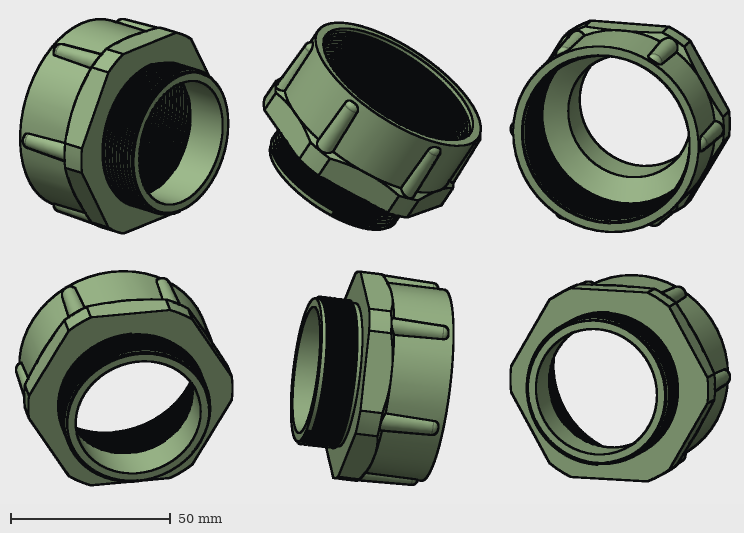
import cadquery as cq
import math

socket_length = 19.0
nut_end = 27.55
total_length = 40.5

socket_diameter = 60.3
nut_flats = 60.1
nut_corner_diameter = 65.15
nut_chamfer_length = 1.5
spigot_diameter = 45.2

socket_bore_diameter = 54.6
liner_diameter = 57.3
through_bore_diameter = 39.8
cone_start = 22.5
cone_end = 27.2

thread_pitch = 1.5
ridge_height = 0.7
ridge_base = 1.2
ridge_crest = 0.2
ridge_embed = 0.25
outer_thread_start = 28.5
outer_thread_turns = 7.5
inner_thread_start = 1.2
inner_thread_turns = 13.8

corner_count = 6
rib_start = 1.6
rib_nose_length = 2.0
rib_nose_fillet = 1.6
rib_nose_radius = 2.6
rib_root_radius = 3.2
rib_end = socket_length + nut_chamfer_length
rib_axis_radius = 29.25


def cylinder(diameter, start, end):
    """Solid cylinder on the X axis."""
    return cq.Workplane("YZ", origin=(start, 0, 0)).circle(diameter / 2).extrude(end - start)


def make_nut():
    """Hexagon with corners on +Y and -Y, turned round and chamfered on the socket side."""
    hexagon = (
        cq.Workplane("YZ", origin=(socket_length, 0, 0))
        .polygon(corner_count, nut_flats / math.cos(math.pi / corner_count))
        .extrude(nut_end - socket_length)
    )
    turned_blank = (
        cq.Workplane("XY")
        .moveTo(socket_length, 0)
        .lineTo(socket_length, socket_diameter / 2)
        .lineTo(socket_length + nut_chamfer_length, nut_corner_diameter / 2)
        .lineTo(nut_end, nut_corner_diameter / 2)
        .lineTo(nut_end, 0)
        .close()
        .revolve(360, (0, 0, 0), (1, 0, 0))
    )
    return hexagon.intersect(turned_blank)


def make_rib():
    """Tapered round rib at the +Y corner, with a rounded nose."""
    nose_end = rib_start + rib_nose_length
    nose_tip_radius = rib_nose_radius - rib_nose_fillet
    nose_bulge = rib_nose_fillet * math.sqrt(0.5)
    nose_middle = (
        nose_end - rib_nose_length * math.sqrt(0.5),
        nose_tip_radius + nose_bulge,
    )
    return (
        cq.Workplane("XY")
        .moveTo(rib_start, 0)
        .lineTo(rib_start, nose_tip_radius)
        .threePointArc(nose_middle, (nose_end, rib_nose_radius))
        .lineTo(rib_end, rib_root_radius)
        .lineTo(rib_end, 0)
        .close()
        .revolve(360, (0, 0, 0), (1, 0, 0))
        .translate((0, rib_axis_radius, 0))
    )


def make_thread(diameter, outward, start, turns):
    """Right-handed helical ridge on a cylindrical wall, starting on the -Z side.

    outward is 1 for a ridge pointing away from the axis and -1 for one pointing at it.
    """
    wall = diameter / 2
    root = wall - outward * ridge_embed
    crest = wall + outward * ridge_height
    helix = cq.Wire.makeHelix(thread_pitch, thread_pitch * turns, wall)
    ridge = (
        cq.Workplane("XZ")
        .polyline([
            (root, -ridge_base / 2),
            (crest, -ridge_crest / 2),
            (crest, ridge_crest / 2),
            (root, ridge_base / 2),
        ])
        .close()
        .sweep(cq.Workplane("XY").add(helix), isFrenet=True)
    )
    return ridge.rotate((0, 0, 0), (0, 1, 0), 90).translate((start, 0, 0))


body = cylinder(socket_diameter, 0, socket_length)
body = body.union(make_nut())

rib = make_rib()
for corner in range(corner_count):
    body = body.union(rib.rotate((0, 0, 0), (1, 0, 0), corner * 360 / corner_count))

outer_thread = make_thread(spigot_diameter, 1, outer_thread_start, outer_thread_turns)
outer_thread = outer_thread.rotate((0, 0, 0), (1, 0, 0), 180)
spigot = cylinder(spigot_diameter, nut_end, total_length).union(outer_thread)
body = body.union(spigot)

bore = (
    cq.Workplane("XY")
    .lineTo(0, socket_bore_diameter / 2)
    .lineTo(cone_start, socket_bore_diameter / 2)
    .lineTo(cone_end, through_bore_diameter / 2)
    .lineTo(total_length, through_bore_diameter / 2)
    .lineTo(total_length, 0)
    .close()
    .revolve(360, (0, 0, 0), (1, 0, 0))
)
body = body.cut(bore)

body = body.cut(cylinder(liner_diameter, 0, cone_start))
liner_wall = cylinder(liner_diameter, 0, cone_start).cut(cylinder(socket_bore_diameter, 0, cone_start))
inner_thread = make_thread(socket_bore_diameter, -1, inner_thread_start, inner_thread_turns)
liner = liner_wall.union(inner_thread)

result = body.union(liner, glue=True)